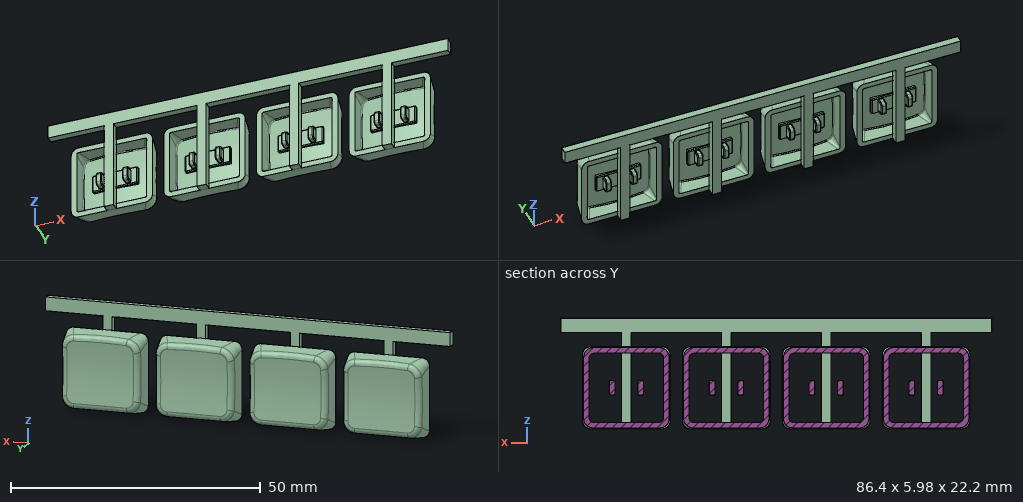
import cadquery as cq
import math

RAIL_LENGTH = 86.36
FRAME_THICKNESS = 1.6
RAIL_HEIGHT = 2.9
STRIP_WIDTH = 2.0
OVERALL_HEIGHT = 22.18
OVERALL_DEPTH = 5.98

CAP_COUNT = 4
CAP_PITCH = 20.0
CAP_WIDTH = 17.6
CAP_HEIGHT = 16.5
CAP_DEPTH = OVERALL_DEPTH - FRAME_THICKNESS
CAP_CENTER_Z = CAP_HEIGHT / 2
RIM_CORNER_RADIUS = 1.6
MIDDLE_CORNER_RADIUS = 2.1
FACE_CORNER_RADIUS = 3.0
MIDDLE_INSET = 0.3
FACE_SIDE_INSET = 0.65
FACE_END_INSET = 1.05
LOFT_OVERSHOOT = 0.6
DISH_RADIUS = 42.0
DISH_CORNER_REACH = 9.08
FACE_FILLET = 1.1

MOUTH_WIDTH = 15.1
MOUTH_HEIGHT = 14.1
MOUTH_CORNER_RADIUS = 0.4
FLOOR_WIDTH = 14.3
FLOOR_HEIGHT = 13.2
FLOOR_CORNER_RADIUS = 1.7
FACE_THICKNESS = 1.3
FLOOR_FILLET = 0.2

PAD_WIDTH = 9.8
PAD_HEIGHT = 3.9
PAD_RISE = 0.4
PAD_CHAMFER = 0.2
PAD_CORNER_RADIUS = 0.35
POST_SPACING = 5.7
POST_WIDTH = 1.2
POST_HEIGHT = 3.0
POST_TIP_RADIUS = 0.7
POST_TIP_CHAMFER = 0.2

CAP_CENTERS = [(i - (CAP_COUNT - 1) / 2) * CAP_PITCH for i in range(CAP_COUNT)]
DISH_BOTTOM = CAP_DEPTH - (DISH_RADIUS - math.sqrt(DISH_RADIUS**2 - DISH_CORNER_REACH**2))
FLOOR_DEPTH = DISH_BOTTOM - FACE_THICKNESS


def block(width, height, y_start, y_end):
    """Box centered on the Y axis, spanning y_start to y_end."""
    return cq.Workplane("XY").box(width, y_end - y_start, height).translate((0, (y_start + y_end) / 2, 0))


def rounded_outline(width, height, radius, y):
    """Rounded rectangle wire in the plane at depth y."""
    slab_thickness = radius
    slab = cq.Workplane("XZ", origin=(0, y, 0)).rect(width, height).extrude(slab_thickness)
    return slab.edges("|Y").fillet(radius).faces(">Y").wires().val()


def loft(outlines, ruled):
    return cq.Workplane(cq.Solid.makeLoft(outlines, ruled))


def sphere_above(lowest_y, radius):
    """Ball whose lowest point is on the cap axis at depth lowest_y."""
    return cq.Workplane("XY").sphere(radius).translate((0, lowest_y + radius, 0))


def cap_body():
    def section(side_inset, end_inset, radius, y):
        return rounded_outline(CAP_WIDTH - 2 * side_inset, CAP_HEIGHT - 2 * end_inset, radius, y)

    body = loft(
        [
            section(0, 0, RIM_CORNER_RADIUS, 0),
            section(MIDDLE_INSET, MIDDLE_INSET, MIDDLE_CORNER_RADIUS, CAP_DEPTH / 2),
            section(FACE_SIDE_INSET, FACE_END_INSET, FACE_CORNER_RADIUS, CAP_DEPTH + LOFT_OVERSHOOT),
        ],
        False,
    )
    dished = body.cut(sphere_above(DISH_BOTTOM, DISH_RADIUS))
    face = dished.faces(cq.selectors.NearestToPointSelector((0, DISH_BOTTOM, 0)))
    return face.edges().fillet(FACE_FILLET)


def cavity():
    space = loft(
        [
            rounded_outline(MOUTH_WIDTH, MOUTH_HEIGHT, MOUTH_CORNER_RADIUS, 0),
            rounded_outline(FLOOR_WIDTH, FLOOR_HEIGHT, FLOOR_CORNER_RADIUS, CAP_DEPTH - FACE_THICKNESS / 2),
        ],
        True,
    )
    space = space.cut(sphere_above(FLOOR_DEPTH, DISH_RADIUS + FACE_THICKNESS))
    floor = space.faces(cq.selectors.NearestToPointSelector((0, FLOOR_DEPTH, 0)))
    return floor.edges().fillet(FLOOR_FILLET)


def pad():
    plate = block(PAD_WIDTH, PAD_HEIGHT, FLOOR_DEPTH - PAD_RISE, FLOOR_DEPTH + FACE_THICKNESS / 2)
    plate = plate.edges("|Y").fillet(PAD_CORNER_RADIUS)
    return plate.faces("<Y").edges().chamfer(PAD_CHAMFER)


def post():
    bar = block(POST_WIDTH, POST_HEIGHT, 0, FLOOR_DEPTH)
    bar = bar.faces("<Y").edges("|X").fillet(POST_TIP_RADIUS)
    return bar.faces("<Y").edges("|Z").chamfer(POST_TIP_CHAMFER)


def keycap():
    cap = cap_body().cut(cavity()).union(pad())
    for side in (-1, 1):
        cap = cap.union(post().translate((side * POST_SPACING / 2, 0, 0)))
    return cap.translate((0, FRAME_THICKNESS, CAP_CENTER_Z))


def frame():
    carrier = block(RAIL_LENGTH, RAIL_HEIGHT, 0, FRAME_THICKNESS)
    carrier = carrier.translate((0, 0, OVERALL_HEIGHT - RAIL_HEIGHT / 2))
    for x in CAP_CENTERS:
        strip = block(STRIP_WIDTH, OVERALL_HEIGHT, 0, FRAME_THICKNESS)
        carrier = carrier.union(strip.translate((x, 0, OVERALL_HEIGHT / 2)))
    return carrier


single_cap = keycap()
result = frame()
for x in CAP_CENTERS:
    result = result.union(single_cap.translate((x, 0, 0)))